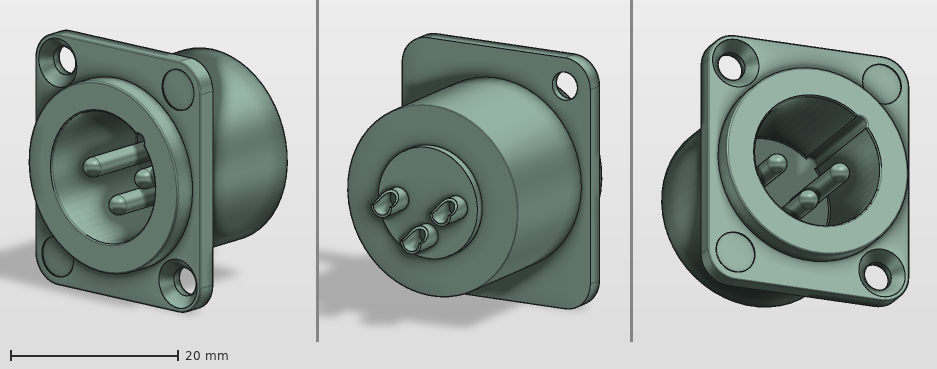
import cadquery as cq
import math


FLANGE_WIDTH = 26.0
FLANGE_HEIGHT = 31.0
FLANGE_FRONT_Y = 2.7
FLANGE_THICKNESS = 2.3
FLANGE_CORNER_RADIUS = 3.5
FLANGE_EDGE_FILLET = 0.12

MOUNT_X = 9.5
MOUNT_Z = 12.0
SCREW_HOLE_RADIUS = 1.75
COUNTERSINK_RADIUS = 3.0
COUNTERSINK_ANGLE = 90.0
MARK_RADIUS = 2.5
MARK_DEPTH = 0.2

BARREL_RADIUS = 11.78
BARREL_LENGTH = 20.1
BARREL_REAR_FILLET = 0.05
BOSS_RADIUS = 6.85
BOSS_HEIGHT = 1.15
RIM_FILLET = 0.2

SOCKET_RADIUS = 8.12
SOCKET_DEPTH = 15.5
SOCKET_FLOOR_FILLET = 0.2
KEY_RADIUS = 0.93
KEY_CENTER_RADIUS = 7.75
KEY_ANGLE = math.radians(45)

PIN_RADIUS = 1.2
PIN_TIP_Y = 1.67
PIN_END_Y = 25.3
PIN_SIDE_X = 4.05
PIN_LOWER_Z = -3.97
PIN_POSITIONS = [(-PIN_SIDE_X, 0), (PIN_SIDE_X, 0), (0, PIN_LOWER_Z)]

CUP_RADIUS = 1.43
CUP_BORE_RADIUS = 1.12
CUP_SCOOP_RADIUS = 3.1

BOSS_REAR_Y = BARREL_LENGTH + BOSS_HEIGHT
FLANGE_REAR_Y = FLANGE_FRONT_Y + FLANGE_THICKNESS


def rod(radius, start_y, end_y, x=0, z=0):
    """Cylinder along Y between two Y positions."""
    solid = cq.Solid.makeCylinder(radius, end_y - start_y, cq.Vector(x, start_y, z), cq.Vector(0, 1, 0))
    return cq.Workplane(solid)


def make_flange():
    """Rounded rectangular plate with a softened front edge."""
    flange = (
        cq.Workplane("ZX", origin=(0, FLANGE_FRONT_Y, 0))
        .rect(FLANGE_HEIGHT, FLANGE_WIDTH)
        .extrude(FLANGE_THICKNESS)
        .edges("|Y")
        .fillet(FLANGE_CORNER_RADIUS)
    )
    return flange.faces("<Y").edges().fillet(FLANGE_EDGE_FILLET)


def make_socket():
    """Space inside the barrel: a round bore and key groove with a rounded floor edge."""
    key_x = KEY_CENTER_RADIUS * math.cos(KEY_ANGLE)
    key_z = KEY_CENTER_RADIUS * math.sin(KEY_ANGLE)
    key_groove = rod(KEY_RADIUS, 0, SOCKET_DEPTH, key_x, key_z)
    socket = rod(SOCKET_RADIUS, 0, SOCKET_DEPTH).union(key_groove)
    return socket.faces(">Y").edges().fillet(SOCKET_FLOOR_FILLET)


def make_barrel():
    """Outer barrel hollowed by the socket, with rounded rims."""
    barrel = rod(BARREL_RADIUS, 0, BARREL_LENGTH).faces(">Y").edges().fillet(BARREL_REAR_FILLET)
    barrel = barrel.cut(make_socket())
    return barrel.faces("<Y").edges().fillet(RIM_FILLET)


def countersunk_hole(x, z):
    """Through hole in the flange with a conical seat at the front."""
    half_angle = math.radians(COUNTERSINK_ANGLE / 2)
    sink_depth = (COUNTERSINK_RADIUS - SCREW_HOLE_RADIUS) / math.tan(half_angle)
    sink = cq.Solid.makeCone(
        COUNTERSINK_RADIUS,
        SCREW_HOLE_RADIUS,
        sink_depth,
        cq.Vector(x, FLANGE_FRONT_Y, z),
        cq.Vector(0, 1, 0),
    )
    return rod(SCREW_HOLE_RADIUS, FLANGE_FRONT_Y, FLANGE_REAR_Y, x, z).union(cq.Workplane(sink))


def pin_blank(x, z):
    """Pin with a domed tip and a thicker rear, before the solder cup is cut."""
    shank = rod(PIN_RADIUS, PIN_TIP_Y + PIN_RADIUS, BARREL_LENGTH, x, z)
    dome = cq.Workplane(origin=(x, PIN_TIP_Y + PIN_RADIUS, z)).sphere(PIN_RADIUS)
    rear = rod(CUP_RADIUS, BARREL_LENGTH, PIN_END_Y, x, z)
    return shank.union(dome).union(rear)


def make_housing():
    """Flange, barrel and boss in one solid, with a matching hole for each pin."""
    flange = make_flange()
    for side in (-1, 1):
        flange = flange.cut(countersunk_hole(side * MOUNT_X, -side * MOUNT_Z))
        mark = rod(MARK_RADIUS, FLANGE_FRONT_Y, FLANGE_FRONT_Y + MARK_DEPTH, side * MOUNT_X, side * MOUNT_Z)
        flange = flange.cut(mark)
    flange = flange.cut(rod(BARREL_RADIUS, FLANGE_FRONT_Y, FLANGE_REAR_Y))
    boss = rod(BOSS_RADIUS, BARREL_LENGTH, BOSS_REAR_Y)
    housing = make_barrel().union(flange).union(boss)
    for x, z in PIN_POSITIONS:
        housing = housing.cut(pin_blank(x, z))
    return housing


def make_pin(x, z):
    """Contact pin with a solder cup that opens toward +Z."""
    bore = rod(CUP_BORE_RADIUS, BOSS_REAR_Y, PIN_END_Y, x, z)
    scoop = (
        cq.Workplane("YZ", origin=(x, PIN_END_Y, z + CUP_SCOOP_RADIUS))
        .circle(CUP_SCOOP_RADIUS)
        .extrude(CUP_RADIUS, both=True)
    )
    return pin_blank(x, z).cut(bore).cut(scoop)


housing = make_housing()
pins = [make_pin(x, z) for x, z in PIN_POSITIONS]

result = cq.Compound.makeCompound([housing.solids().val(), *[pin.solids().val() for pin in pins]])